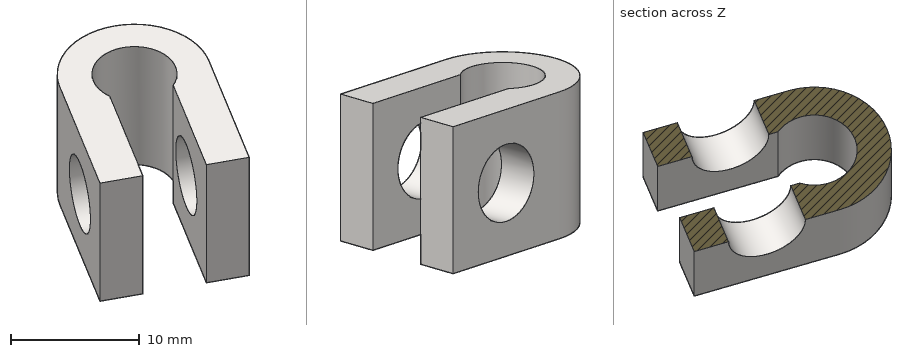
import cadquery as cq

width = 12.0
height = 12.0
length = 18.0
bore_diameter = 6.6
slot_width = 5.1
pin_hole_diameter = 6.3

end_radius = width / 2
leg_length = length - end_radius
pin_hole_x = leg_length / 2


def clevis_body():
    """U-shaped block: half-round end at -X, flat end at +X."""
    return (
        cq.Workplane("XY")
        .workplane(offset=-height / 2)
        .moveTo(leg_length, -end_radius)
        .lineTo(leg_length, end_radius)
        .lineTo(0, end_radius)
        .threePointArc((-end_radius, 0), (0, -end_radius))
        .close()
        .extrude(height)
    )


def vertical_bore():
    return cq.Workplane("XY").circle(bore_diameter / 2).extrude(height / 2, both=True)


def slot():
    """Gap from the bore axis out through the open end."""
    return cq.Workplane("XY").box(leg_length, slot_width, height, centered=(False, True, True))


def pin_hole():
    """Hole along Y, midway along the legs and at mid height."""
    return (
        cq.Workplane("XZ")
        .center(pin_hole_x, 0)
        .circle(pin_hole_diameter / 2)
        .extrude(width / 2, both=True)
    )


result = clevis_body().cut(vertical_bore()).cut(slot()).cut(pin_hole())